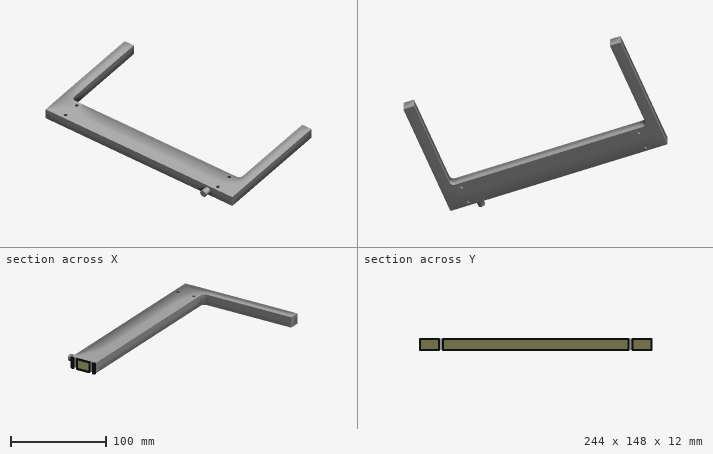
import cadquery as cq

width = 244.0
frame_depth = 140.0
thickness = 12.0
arm_width = 12.0
base_depth = 30.0
inner_corner_radius = 5.0

hole_diameter = 4.0
hole_side_inset = 22.5
hole_front_inset = 5.0
hole_row_pitch = 20.0

pin_diameter = 7.5
pin_length = 8.0
pin_side_inset = 32.2
window_diameter = 8.0
window_side_inset = 47.0
window_pitch = 10.0

oblong_length = 13.2
oblong_height = 7.5
oblong_end_inset = 3.2

recess_depth = 0.12
mid_height = thickness / 2


def make_frame():
    plate = cq.Workplane("XY").box(width, frame_depth, thickness, centered=(True, False, False))
    opening = (
        cq.Workplane("XY")
        .box(width - 2 * arm_width, frame_depth, thickness, centered=(True, False, False))
        .translate((0, base_depth, 0))
        .edges("|Z and <Y")
        .fillet(inner_corner_radius)
    )
    return plate.cut(opening)


def make_mounting_holes():
    hole_x = width / 2 - hole_side_inset
    rows = (hole_front_inset, hole_front_inset + hole_row_pitch)
    centers = [(x, y) for x in (-hole_x, hole_x) for y in rows]
    return cq.Workplane("XY").pushPoints(centers).circle(hole_diameter / 2).extrude(thickness)


def make_pin():
    pin_x = width / 2 - pin_side_inset
    return cq.Workplane("XZ").center(pin_x, mid_height).circle(pin_diameter / 2).extrude(pin_length)


def make_window_recesses():
    first_x = width / 2 - window_side_inset
    centers = [(first_x - i * window_pitch, mid_height) for i in range(2)]
    return cq.Workplane("XZ").pushPoints(centers).circle(window_diameter / 2).extrude(-recess_depth)


def make_oblong_recess():
    center_y = frame_depth - oblong_end_inset - oblong_length / 2
    return (
        cq.Workplane("YZ", origin=(-width / 2, 0, 0))
        .center(center_y, mid_height)
        .slot2D(oblong_length, oblong_height)
        .extrude(recess_depth)
    )


result = (
    make_frame()
    .cut(make_mounting_holes())
    .cut(make_window_recesses())
    .cut(make_oblong_recess())
    .union(make_pin())
)